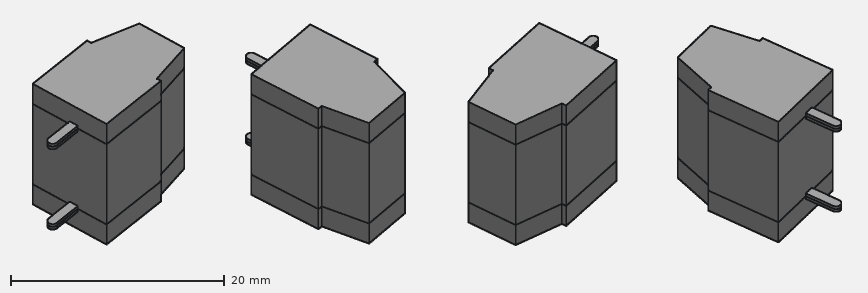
import cadquery as cq


total_length = 16.6

base_width = 9.0
base_depth = 8.0
nose_depth = 5.0
nose_root_left = 0.5
nose_root_right = 8.5
nose_tip_left = 2.2
nose_tip_right = 7.7
housing_depth = base_depth + nose_depth

total_height = 15.0
end_height = 2.5
middle_height = total_height - 2 * end_height

pin_center_x = 5.01
pin_width = 1
pin_thickness = 0.7
pin_length = total_length - housing_depth
pin_half_width = pin_width / 2
pin_half_thickness = pin_thickness / 2


def housing_slice(bottom, height):
    """Rectangular base with a tapered nose on its +Y side."""
    outline = [
        (0, 0),
        (base_width, 0),
        (base_width, base_depth),
        (nose_root_right, base_depth),
        (nose_tip_right, housing_depth),
        (nose_tip_left, housing_depth),
        (nose_root_left, base_depth),
        (0, base_depth),
    ]
    return cq.Workplane("XY", origin=(0, 0, bottom)).polyline(outline).close().extrude(height)


def half_pin(bottom):
    """Half the thickness of a flat, round-ended pin that points to -Y."""
    left = pin_center_x - pin_half_width
    right = pin_center_x + pin_half_width
    round_start = pin_half_width - pin_length
    return (
        cq.Workplane("XY", origin=(0, 0, bottom))
        .moveTo(left, 0)
        .lineTo(left, round_start)
        .threePointArc((pin_center_x, -pin_length), (right, round_start))
        .lineTo(right, 0)
        .close()
        .extrude(pin_half_thickness)
    )


def module(bottom, height, pin_at_bottom, pin_at_top):
    """Housing slice with a half pin flush with its bottom face, its top face, or both."""
    body = housing_slice(bottom, height)
    if pin_at_bottom:
        body = body.union(half_pin(bottom))
    if pin_at_top:
        body = body.union(half_pin(bottom + height - pin_half_thickness))
    return body


bottom_module = module(0, end_height, pin_at_bottom=False, pin_at_top=True)
middle_module = module(end_height, middle_height, pin_at_bottom=True, pin_at_top=True)
top_module = module(end_height + middle_height, end_height, pin_at_bottom=True, pin_at_top=False)

result = cq.Compound.makeCompound([bottom_module.val(), middle_module.val(), top_module.val()])